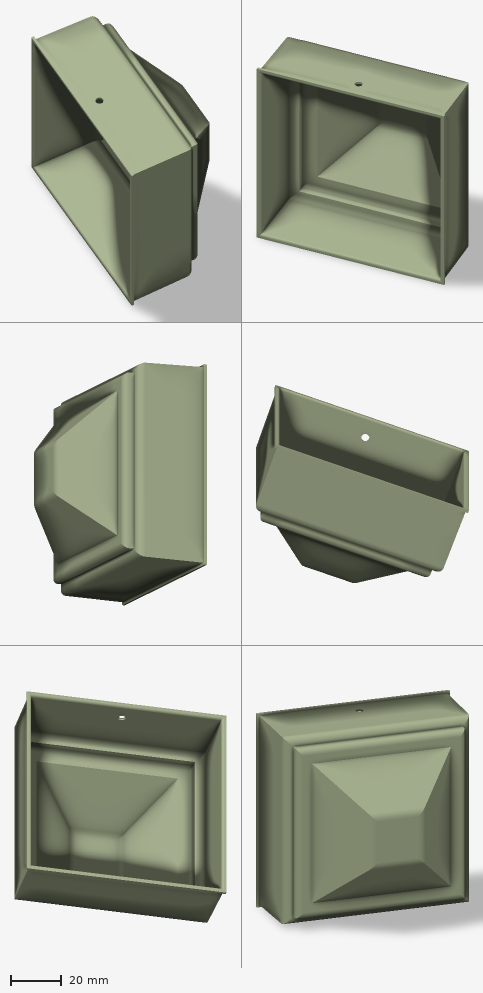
import cadquery as cq
import math

rim_width = 81.15
total_depth = 52.5
wall = 1.0
rim_thickness = 1.1
mouth_radius = 1.0

box_half_front = 39.6
box_half_back = 39.3
shoulder_depth = 29.2
shoulder_radius = 3.25

step_half = 35.6
step_depth = 33.75
step_radius = 2.6

pyramid_foot_half = 29.2
pyramid_end_half = 10.55
end_radius = 4.05

hole_diameter = 3.2
hole_depth = 8.1

pyramid_angle = math.atan2(total_depth - step_depth, pyramid_foot_half - pyramid_end_half)
bend_shift = math.tan(pyramid_angle / 2)


def corner_arc(sketch, half, depth, radius):
    """Draw a convex quarter round from a side wall onto a face of constant depth."""
    middle = radius * (1 - math.sqrt(0.5))
    sketch = sketch.lineTo(half, depth - radius)
    return sketch.threePointArc((half - middle, depth - middle), (half - radius, depth))


def finish_profile(sketch, inset):
    """Draw from the box wall to the axis, moved inwards by inset, and close."""
    sketch = corner_arc(sketch, box_half_back - inset, shoulder_depth - inset, shoulder_radius - inset)
    sketch = sketch.lineTo(step_half - inset, shoulder_depth - inset)
    sketch = corner_arc(sketch, step_half - inset, step_depth - inset, step_radius - inset)

    foot_half = pyramid_foot_half - inset * bend_shift
    end_half = pyramid_end_half - inset * bend_shift
    end_depth = total_depth - inset
    radius = end_radius - inset
    tangent = radius * bend_shift
    sketch = sketch.lineTo(foot_half, step_depth - inset)
    sketch = sketch.lineTo(
        end_half + tangent * math.cos(pyramid_angle),
        end_depth - tangent * math.sin(pyramid_angle),
    )
    arc_middle = (
        end_half - tangent + radius * math.sin(pyramid_angle / 2),
        end_depth - radius + radius * math.cos(pyramid_angle / 2),
    )
    sketch = sketch.threePointArc(arc_middle, (end_half - tangent, end_depth))
    return sketch.lineTo(0, end_depth).close()


def mitred_square(half_profile):
    """Give every depth a square section whose half width follows the profile."""
    half_slab = half_profile.extrude(rim_width / 2, both=True)
    slab = half_slab.union(half_slab.mirror("YZ"))
    return slab.intersect(slab.rotate((0, 0, 0), (0, 1, 0), 90))


outer_profile = (
    cq.Workplane("XY")
    .lineTo(rim_width / 2, 0)
    .lineTo(rim_width / 2, rim_thickness)
    .lineTo(box_half_front, rim_thickness)
)
outer = mitred_square(finish_profile(outer_profile, 0))

mouth_half = box_half_front - wall
flare_middle = mouth_radius * (1 - math.sqrt(0.5))
cavity_profile = (
    cq.Workplane("XY")
    .lineTo(mouth_half + mouth_radius, 0)
    .threePointArc((mouth_half + flare_middle, flare_middle), (mouth_half, mouth_radius))
)
cavity = mitred_square(finish_profile(cavity_profile, wall))

hole = (
    cq.Workplane("XY")
    .center(0, hole_depth)
    .circle(hole_diameter / 2)
    .extrude(rim_width / 2)
)

result = outer.cut(cavity).cut(hole)